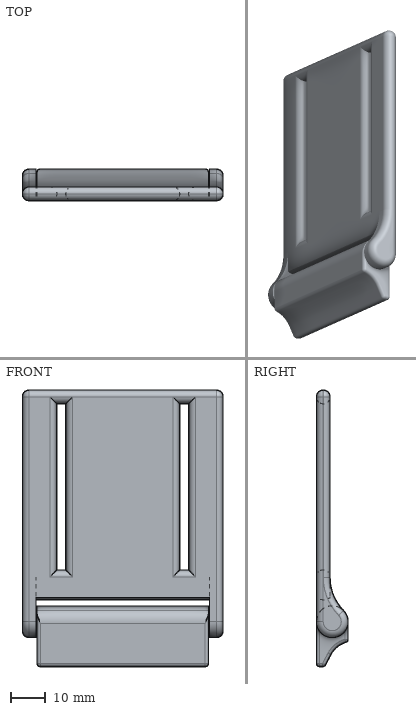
import cadquery as cq
import math

width = 58.0
height = 79.85
thickness = 4.0
edge_round = 1.99

eye_radius = 4.59
eye_y = eye_radius
eye_z = 13.0
flare_radius = 13.6

slot_outer_x = 21.0
slot_width = 6.55
slot_bottom = 25.95
slot_top = height - thickness / 2

opening_width = 50.0
opening_top = 20.0
opening_top_sag = 0.6

side_gap = 0.2
lever_width = opening_width - 2 * side_gap
lever_edge_round = 0.95
lever_back_bottom = 7.2
tip_depth = 2.4
scoop_end_y = 4.2
scoop_end_z = 3.5
scoop_radius = 7.2
hub_front_z = 12.5
hub_front_radius = 5.8


def extrude_along_x(profile, length):
    """Extrude a closed (Y, Z) profile symmetrically about X = 0."""
    return profile.extrude(length).translate((-length / 2, 0, 0))


def plate_blank():
    """Plate with its flared eye, rounded along both side outlines and the top."""
    flare_y = thickness + flare_radius
    rise = math.sqrt((flare_radius + eye_radius) ** 2 - (flare_y - eye_y) ** 2)
    flare_z = eye_z + rise
    eye_share = eye_radius / (eye_radius + flare_radius)
    tangent_y = eye_y + eye_share * (flare_y - eye_y)
    tangent_z = eye_z + eye_share * rise
    start_angle = math.atan2(tangent_z - flare_z, tangent_y - flare_y) % (2 * math.pi)
    middle_angle = (start_angle + math.pi) / 2
    flare_middle = (
        flare_y + flare_radius * math.cos(middle_angle),
        flare_z + flare_radius * math.sin(middle_angle),
    )
    profile = (
        cq.Workplane("YZ")
        .moveTo(0, height)
        .lineTo(0, eye_z)
        .threePointArc((eye_y, eye_z - eye_radius), (eye_y + eye_radius, eye_z))
        .threePointArc(
            (
                eye_y + eye_radius * math.cos(math.pi / 8),
                eye_z + eye_radius * math.sin(math.pi / 8),
            ),
            (tangent_y, tangent_z),
        )
        .threePointArc(flare_middle, (thickness, flare_z))
        .lineTo(thickness, height)
        .close()
    )
    blank = extrude_along_x(profile, width)
    return blank.faces("<X or >X").edges().add(blank.faces(">Z").edges("|X")).fillet(edge_round)


def waisted_profile(plane, start, end):
    """Slot section whose two sides are half-round ribs bulging into it."""
    rib = thickness / 2
    return (
        cq.Workplane(plane)
        .moveTo(start, 0)
        .lineTo(end, 0)
        .threePointArc((end - rib, rib), (end, thickness))
        .lineTo(start, thickness)
        .threePointArc((start + rib, rib), (start, 0))
        .close()
    )


def strap_slot(center_x):
    """Cutter for a slot with rounded sides and ends that meet in mitres."""
    half = slot_width / 2
    lengthwise = waisted_profile("XY", center_x - half, center_x + half).extrude(height)
    end_plane = cq.Plane(origin=(width / 2, 0, 0), xDir=(0, 0, 1), normal=(-1, 0, 0))
    crosswise = waisted_profile(end_plane, slot_bottom, slot_top).extrude(width)
    return lengthwise.intersect(crosswise)


def lever_opening():
    """Cutter for the opening between the arms; the panel edge above it bows down."""
    profile = (
        cq.Workplane("YZ")
        .lineTo(0, opening_top)
        .threePointArc(
            (thickness / 2, opening_top - opening_top_sag),
            (thickness, opening_top),
        )
        .lineTo(thickness, 0)
        .close()
    )
    return extrude_along_x(profile, opening_width)


def middle_flare():
    """Cutter that removes the flare behind the panel, leaving it on the arms only."""
    return cq.Workplane("XY").box(
        opening_width, 2 * eye_radius, height - 2 * thickness, centered=(True, False, False)
    ).translate((0, thickness, 0))


def make_plate():
    plate = plate_blank().cut(lever_opening()).cut(middle_flare())
    slot_x = slot_outer_x - slot_width / 2
    for center_x in (-slot_x, slot_x):
        plate = plate.cut(strap_slot(center_x))
    return plate


def lever_tab():
    """Lever with a scooped thumb tab, rounded on its sides and lower edges.

    Its square top stands above the hub and is trimmed later.
    """
    back = 2 * eye_radius
    top = eye_z + 2 * eye_radius
    profile = (
        cq.Workplane("YZ")
        .lineTo(tip_depth, 0)
        .lineTo(scoop_end_y, scoop_end_z)
        .radiusArc((back, lever_back_bottom), scoop_radius)
        .lineTo(back, top)
        .lineTo(0, top)
        .close()
    )
    tab = extrude_along_x(profile, lever_width)
    tip_edges = cq.selectors.BoxSelector((-0.8, -0.8, -0.8), (0.8, tip_depth + 0.8, 0.8))
    back_edge = cq.selectors.NearestToPointSelector((0, back, lever_back_bottom))
    lower_edges = tab.edges("|X").edges(tip_edges).add(tab.edges("|X").edges(back_edge))
    tab = lower_edges.fillet(lever_edge_round)
    return tab.faces("<X or >X").edges("not >Z").fillet(lever_edge_round)


def above_hub():
    """Cutter that shapes the lever's top into the round hub, eased into its front face."""
    back = 2 * eye_radius
    diagonal = eye_radius * math.sqrt(0.5)
    profile = (
        cq.Workplane("YZ")
        .moveTo(0, hub_front_z)
        .radiusArc((eye_y - diagonal, eye_z + diagonal), hub_front_radius)
        .threePointArc((eye_y + diagonal, eye_z + diagonal), (back, eye_z))
        .lineTo(back, height)
        .lineTo(0, height)
        .close()
    )
    return extrude_along_x(profile, width)


def make_lever():
    return lever_tab().cut(above_hub())


plate = make_plate()
lever = make_lever()
result = cq.Compound.makeCompound([plate.val(), lever.val()])